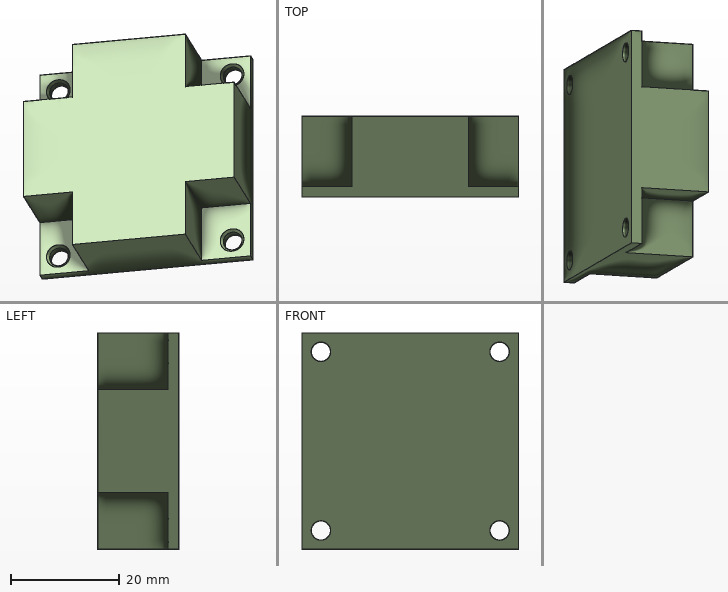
import cadquery as cq

plate_side = 40.0
plate_thickness = 2.0

total_depth = 15.0
upright_width = 21.45
crossbar_height = 19.0

hole_diameter = 3.5
hole_spacing = 33.0
hole_chamfer = 0.5


def block(x_size, y_size, z_size):
    """Box centred in X and Z whose front face lies at Y = 0."""
    return cq.Workplane("XY").box(x_size, y_size, z_size, centered=(True, False, True))


plate = block(plate_side, plate_thickness, plate_side)
upright = block(upright_width, total_depth, plate_side)
crossbar = block(plate_side, total_depth, crossbar_height)

corner_holes = (
    cq.Workplane("XZ")
    .rarray(hole_spacing, hole_spacing, 2, 2)
    .circle(hole_diameter / 2)
    .extrude(-plate_thickness)
)

drilled_plate = plate.cut(corner_holes)

drilled_plate = drilled_plate.faces(">Y").edges("%CIRCLE").chamfer(hole_chamfer)

result = drilled_plate.union(upright).union(crossbar)